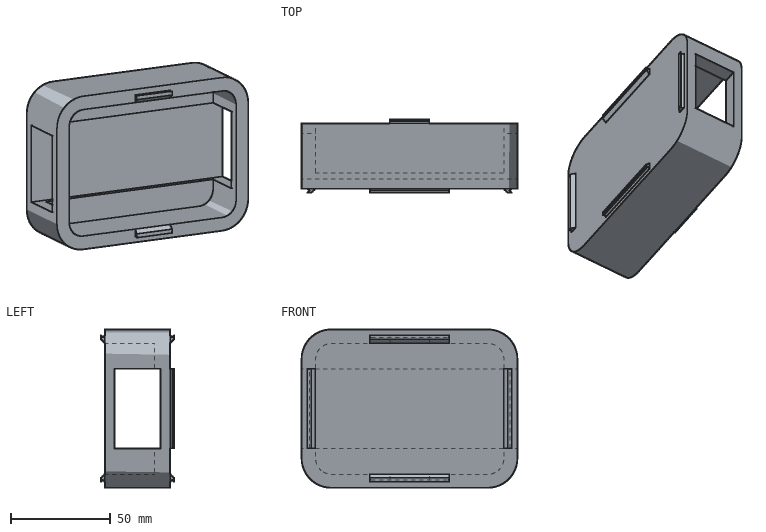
import cadquery as cq

width = 109.0
height = 80.0
depth = 33.0
corner_radius = 15.0
wall = 7.0
front_thickness = 8.0

window_height = 40.0
window_margin = 5.0

rail_projection = 2.0
rail_inset = 3.0
rail_tip_width = 2.0
rail_base_width = 4.0
rail_notch_depth = 1.0
front_rail_length = 40.0
back_rail_length = 20.0

front_y = -depth / 2
back_y = depth / 2


def rounded_block(size_x, size_z, radius, start_y, length):
    """Block with rounded corners, extending toward +Y from start_y."""
    return (
        cq.Workplane("XZ", origin=(0, start_y, 0))
        .rect(size_x, size_z)
        .extrude(-length)
        .edges("|Y")
        .fillet(radius)
    )


def make_housing():
    outer = rounded_block(width, height, corner_radius, front_y, depth)
    cavity = rounded_block(
        width - 2 * wall,
        height - 2 * wall,
        corner_radius - wall,
        front_y + front_thickness,
        depth - front_thickness,
    )
    window = cq.Workplane("XY").box(width, depth - 2 * window_margin, window_height)
    return outer.cut(cavity).cut(window)


def top_rail(length, face_y, outward):
    """Rail along the top edge of a face; outward is -1 on the front and +1 on the back."""
    outer_z = height / 2 - rail_inset
    tip_y = face_y + outward * rail_projection
    notch_y = face_y + outward * rail_projection / 2
    return (
        cq.Workplane("YZ")
        .moveTo(face_y, outer_z)
        .lineTo(notch_y, outer_z - rail_notch_depth)
        .lineTo(tip_y, outer_z)
        .lineTo(tip_y, outer_z - rail_tip_width)
        .lineTo(face_y, outer_z - rail_base_width)
        .close()
        .extrude(length / 2, both=True)
    )


def turned(rail, angle):
    return rail.rotate((0, 0, 0), (0, 1, 0), angle)


def add_rails(body):
    front_rail = top_rail(front_rail_length, front_y, -1)
    back_rail = top_rail(back_rail_length, back_y, 1)
    side_shift = (width - height) / 2
    for side, angle in ((-1, -90), (1, 90)):
        body = body.union(turned(front_rail, angle).translate((side * side_shift, 0, 0)))
    for angle in (0, 180):
        body = body.union(turned(front_rail, angle))
        body = body.union(turned(back_rail, angle))
    return body


result = add_rails(make_housing())